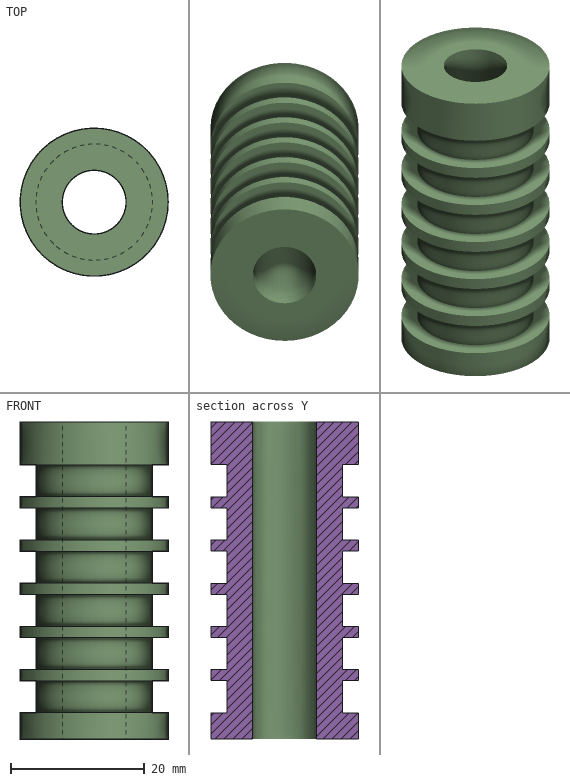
import cadquery as cq

overall_length = 47.625
outer_diameter = 22.225
core_diameter = 17.4625
bore_diameter = 9.525
groove_count = 6
groove_width = 4.7625
fin_thickness = 1.7125
bottom_collar_height = 4.02

groove_pitch = groove_width + fin_thickness


def make_body():
    """Plain cylinder standing on the XY plane."""
    return cq.Workplane("XY").circle(outer_diameter / 2).extrude(overall_length)


def make_groove(base_height):
    """Ring of material removed around the core, starting at base_height."""
    return (
        cq.Workplane("XY", origin=(0, 0, base_height))
        .circle(outer_diameter / 2)
        .circle(core_diameter / 2)
        .extrude(groove_width)
    )


def cut_grooves(body):
    """Evenly spaced grooves above the bottom collar, leaving thin fins between them."""
    for index in range(groove_count):
        body = body.cut(make_groove(bottom_collar_height + index * groove_pitch))
    return body


def cut_bore(body):
    """Axial through bore."""
    return body.faces(">Z").workplane().circle(bore_diameter / 2).cutThruAll()


result = cut_bore(cut_grooves(make_body()))